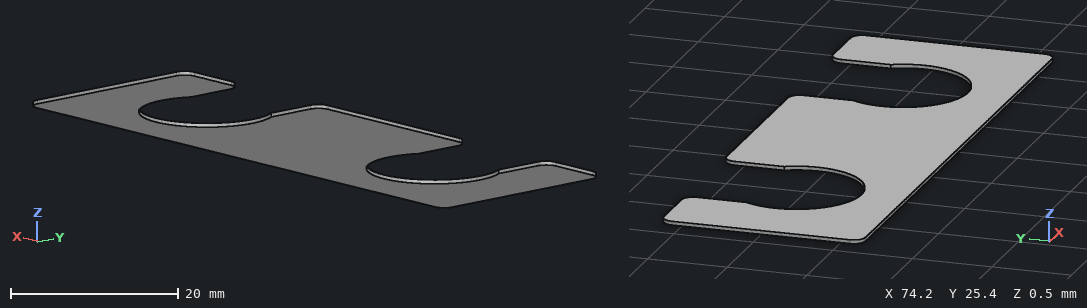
import cadquery as cq

length = 74.17
width = 25.4
thickness = 0.5
corner_radius = 1.5

notch_spacing = 40.64
seat_diameter = 16.26
neck_width = 14.22
seat_center_height = 13.7

seat_y = seat_center_height - width / 2
neck_length = width / 2 - seat_y
notch_centers = [(side * notch_spacing / 2, seat_y) for side in (-1, 1)]


def make_plate():
    return cq.Workplane("XY").box(length, width, thickness)


def cut_necks(body):
    necks = (
        cq.Workplane("XY")
        .pushPoints([(x, y + neck_length / 2) for x, y in notch_centers])
        .rect(neck_width, neck_length)
        .extrude(thickness, both=True)
    )
    return body.cut(necks)


def round_corners(body):
    rounded = body.edges("|Z and >Y").fillet(corner_radius)
    return rounded.edges("|Z and <Y").fillet(corner_radius)


def cut_seats(body):
    seats = (
        cq.Workplane("XY")
        .pushPoints(notch_centers)
        .circle(seat_diameter / 2)
        .extrude(thickness, both=True)
    )
    return body.cut(seats)


result = cut_seats(round_corners(cut_necks(make_plate())))